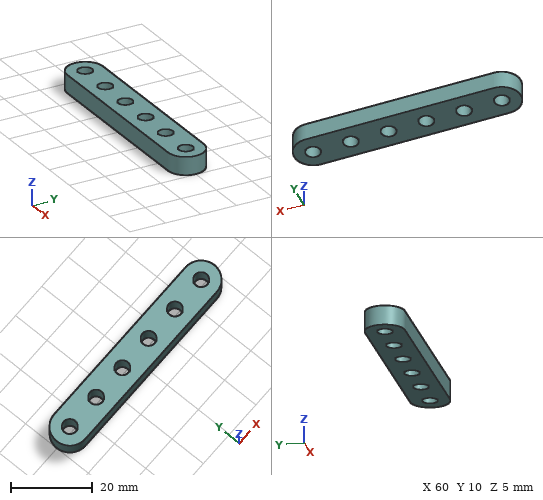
import cadquery as cq

length = 60.0
hole_count = 6
hole_diameter = 3.9

width = length / hole_count
thickness = width / 2
hole_pitch = width

bar = cq.Workplane("XY").slot2D(length, width).extrude(thickness)

result = (
    bar.faces(">Z")
    .workplane()
    .rarray(hole_pitch, width, hole_count, 1)
    .hole(hole_diameter)
)